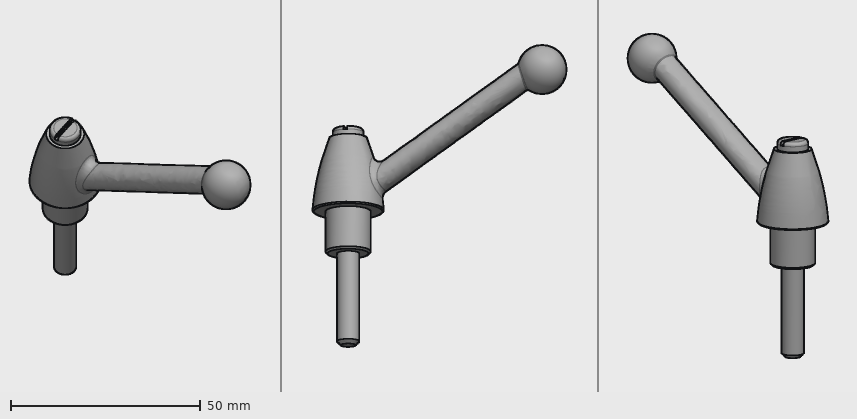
import cadquery as cq
import math

pin_diameter = 6.0
pin_chamfer = 1.0
collar_diameter = 12.0
collar_bottom_z = 25.0
collar_height = 11.45
collar_chamfer = 0.55

hub_bottom_z = collar_bottom_z + collar_height
hub_height = 20.0
hub_bottom_diameter = 18.95
hub_top_diameter = 10.0
hub_middle_diameter = 15.95
hub_rim_chamfer = 0.4
hub_top_z = hub_bottom_z + hub_height

screw_diameter = 8.2
screw_height = 2.6
screw_fillet = 1.0
slot_width = 1.0
slot_depth = 1.1

handle_width = 8.0
handle_thickness = 7.0
handle_angle = 34.0
handle_axis_z = 38.95
handle_start = 3.95
handle_root_fillet = 2.0
ball_diameter = 13.0
ball_x = 52.4
ball_z = 79.0 - ball_diameter / 2
ball_neck_fillet = 0.4


def vertical_cylinder(diameter, bottom_z, height):
    return cq.Workplane("XY").workplane(offset=bottom_z).circle(diameter / 2).extrude(height)


def make_hub():
    bottom_radius = hub_bottom_diameter / 2
    rim_z = hub_bottom_z + hub_rim_chamfer
    return (
        cq.Workplane("XZ")
        .moveTo(0, hub_bottom_z)
        .lineTo(bottom_radius - hub_rim_chamfer, hub_bottom_z)
        .lineTo(bottom_radius, rim_z)
        .threePointArc(
            (hub_middle_diameter / 2, (rim_z + hub_top_z) / 2),
            (hub_top_diameter / 2, hub_top_z),
        )
        .lineTo(0, hub_top_z)
        .close()
        .revolve(360, (0, 0, 0), (0, 1, 0))
        .rotate((0, 0, 0), (0, 0, 1), 180)
    )


def make_handle():
    angle = math.radians(handle_angle)
    direction = cq.Vector(math.cos(angle), 0, math.sin(angle))
    ball_offset = cq.Vector(ball_x, 0, ball_z - handle_axis_z)
    section_plane = cq.Plane(origin=(0, 0, handle_axis_z), xDir=(0, 1, 0), normal=direction.toTuple())
    return (
        cq.Workplane(section_plane)
        .workplane(offset=handle_start)
        .ellipse(handle_width / 2, handle_thickness / 2)
        .extrude(ball_offset.dot(direction) - handle_start)
    )


def make_screw_head():
    head = vertical_cylinder(screw_diameter, hub_top_z, screw_height).faces(">Z").edges().fillet(screw_fillet)
    slot = (
        cq.Workplane("XY")
        .workplane(offset=hub_top_z + screw_height - slot_depth)
        .rect(slot_width, 2 * screw_diameter)
        .extrude(2 * slot_depth)
    )
    return head.cut(slot)


def junction_edges(body, min_x, max_x):
    """Edges around the handle whose centres lie between two X positions."""
    corner = (min_x, -handle_width, hub_bottom_z)
    opposite = (max_x, handle_width, ball_z + ball_diameter)
    return body.edges(cq.selectors.BoxSelector(corner, opposite, boundingbox=False))


hub = make_hub()
ball = cq.Workplane("XY").sphere(ball_diameter / 2).translate((ball_x, 0, ball_z))
lever = hub.union(make_handle()).union(ball)
hub_side_x = hub_top_diameter / 2
hub_reach_x = hub_bottom_diameter / 2
ball_near_x = ball_x - ball_diameter / 2
lever = junction_edges(lever, hub_side_x, hub_reach_x).fillet(handle_root_fillet)
lever = junction_edges(lever, ball_near_x, ball_x).fillet(ball_neck_fillet)

collar = vertical_cylinder(collar_diameter, collar_bottom_z, collar_height)
collar = collar.faces("<Z").edges().chamfer(collar_chamfer)
pin = vertical_cylinder(pin_diameter, 0, collar_bottom_z).faces("<Z").edges().chamfer(pin_chamfer)

result = lever.union(collar).union(pin).union(make_screw_head())